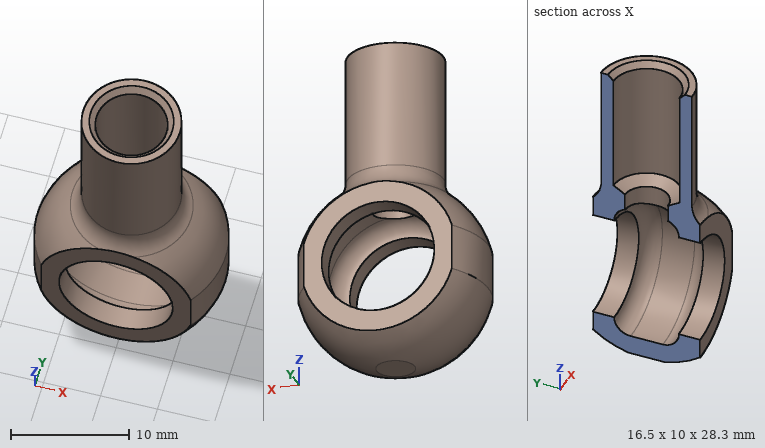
import cadquery as cq
import math

total_height = 28.3
eye_width = 10.0
eye_diameter = 16.5
ball_radius = 8.5
bottom_flat_depth = 8.32
stem_radius = 4.25
neck_radius = 2.5

bore_radius = eye_width / 2
groove_width = 6.0
groove_corner_radius = 1.5

stem_bore_radius = 6.15 / 2
stem_chamfer = 0.5
stem_bore_floor_z = 8.65
passage_radius = 4.0 / 2
drill_tip_angle = 118.0

stem_top_z = total_height - bottom_flat_depth


def make_eye():
    """Ball turned to the eye diameter, with a flat bottom."""
    ball = cq.Workplane("XY").sphere(ball_radius)
    turned_height = bottom_flat_depth + ball_radius
    turned_blank = (
        cq.Workplane("XY")
        .workplane(offset=-bottom_flat_depth)
        .circle(eye_diameter / 2)
        .extrude(turned_height)
    )
    return ball.intersect(turned_blank)


def make_stem():
    """Stem with a concave neck tangent to both the stem and the ball."""
    center_x = stem_radius + neck_radius
    center_distance = ball_radius + neck_radius
    center_z = math.sqrt(center_distance**2 - center_x**2)
    ball_share = ball_radius / center_distance
    tangent_x = center_x * ball_share
    tangent_z = center_z * ball_share

    slope_angle = math.atan2(center_z, center_x)
    middle_angle = math.pi + slope_angle / 2
    middle_x = center_x + neck_radius * math.cos(middle_angle)
    middle_z = center_z + neck_radius * math.sin(middle_angle)
    return (
        cq.Workplane("XZ")
        .lineTo(tangent_x, tangent_z)
        .threePointArc((middle_x, middle_z), (stem_radius, center_z))
        .lineTo(stem_radius, stem_top_z)
        .lineTo(0, stem_top_z)
        .close()
        .revolve(360, (0, 0), (0, 1))
    )


def make_cross_bore():
    """Bore along Y with a wide groove around its middle.

    Each groove side is a quarter arc running from the bore wall to the groove floor.
    """
    half_width = eye_width / 2
    half_groove = groove_width / 2
    half_floor = half_groove - groove_corner_radius
    floor_radius = bore_radius + groove_corner_radius
    arc_offset = groove_corner_radius * math.sqrt(0.5)
    arc_middle_x = bore_radius + arc_offset
    arc_middle_y = half_floor + arc_offset
    return (
        cq.Workplane("XY")
        .moveTo(0, -half_width)
        .lineTo(bore_radius, -half_width)
        .lineTo(bore_radius, -half_groove)
        .threePointArc((arc_middle_x, -arc_middle_y), (floor_radius, -half_floor))
        .lineTo(floor_radius, half_floor)
        .threePointArc((arc_middle_x, arc_middle_y), (bore_radius, half_groove))
        .lineTo(bore_radius, half_width)
        .lineTo(0, half_width)
        .close()
        .revolve(360, (0, 0), (0, 1))
    )


def make_stem_bore():
    """Chamfered blind bore whose conical floor opens into a narrow passage."""
    half_tip_angle = math.radians(drill_tip_angle / 2)
    cone_height = (stem_bore_radius - passage_radius) / math.tan(half_tip_angle)
    return (
        cq.Workplane("XZ")
        .lineTo(passage_radius, 0)
        .lineTo(passage_radius, stem_bore_floor_z - cone_height)
        .lineTo(stem_bore_radius, stem_bore_floor_z)
        .lineTo(stem_bore_radius, stem_top_z - stem_chamfer)
        .lineTo(stem_bore_radius + stem_chamfer, stem_top_z)
        .lineTo(0, stem_top_z)
        .close()
        .revolve(360, (0, 0), (0, 1))
    )


face_slab = cq.Workplane("XY").box(2 * total_height, eye_width, 2 * total_height)
body = make_eye().union(make_stem()).intersect(face_slab)
result = body.cut(make_cross_bore()).cut(make_stem_bore())